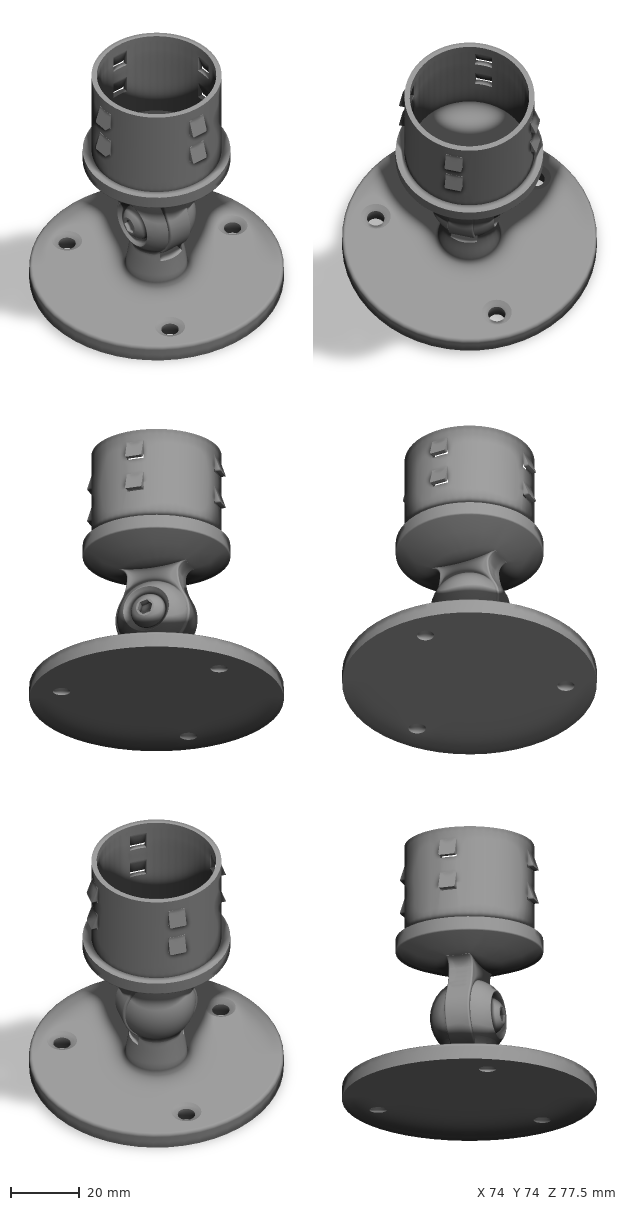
import cadquery as cq
import math

plate_dia = 74.0
plate_thick = 4.95
plate_round = 1.0
mount_hole_count = 3
mount_circle_dia = 56.0
mount_hole_dia = 5.0
countersink_dia = 8.7
countersink_depth = 1.0

pivot_z = 25.0
ball_radius = 11.5
stem_bottom_radius = 9.2
stem_half_angle = 8.5
stem_foot_round = 1.0
neck_round = 2.0
slot_width = 7.9
slot_floor_z = 13.0

ball_flat_y = -9.0
seat_mouth_radius = 7.0
seat_depth = 2.2
seat_floor_y = ball_flat_y + seat_depth
screw_shank_radius = 3.0
screw_end_y = 7.4
head_tip_y = -10.15
head_tip_radius = 2.7
head_radius = 5.3
head_dome_radius = 5.7
socket_across_flats = 4.0
socket_depth = 2.7
socket_cone_depth = 1.2
socket_turn = 45

total_height = 77.5
cup_radius = 18.9
cup_wall = 1.55
flange_radius = 21.5
flange_bottom_z = 45.0
flange_top_z = 49.0
flange_edge_round = 0.5
dome_bottom_z = 40.1
dome_height = flange_bottom_z - dome_bottom_z
dome_radius = (flange_radius**2 + dome_height**2) / (2 * dome_height)
dome_center_z = dome_bottom_z + dome_radius

lever_thick = 7.5
lever_edge_round = 0.5
neck_half_width = 7.9
dome_blend_radius = 3.0

tab_columns = 4
tab_rows = 2
tab_row_pitch = 10.1
top_window_z = 73.9
window_width = 5.0
window_height = 5.5
tab_gap = 0.3
tab_angle = 19
tab_bend_radius = 2.5
tab_corner_round = 0.5

search_margin = 0.1


def ring_between(z_low, z_high):
    """Selector for edges near the Z axis that lie wholly between two heights."""
    reach = flange_radius + search_margin
    return cq.selectors.BoxSelector((-reach, -reach, z_low), (reach, reach, z_high), boundingbox=True)


def revolve_about_screw_axis(profile):
    """Turn a closed profile, drawn as (radius, y), about the pivot axis."""
    return profile.close().revolve(360, (0, 0), (0, 1)).translate((0, 0, pivot_z))


def make_plate():
    plate = cq.Workplane("XY").circle(plate_dia / 2).extrude(plate_thick)
    plate = plate.faces(">Z").edges().fillet(plate_round)
    countersink_slope = (countersink_dia - mount_hole_dia) / (2 * countersink_depth)
    countersink_angle = 2 * math.degrees(math.atan(countersink_slope))
    return (
        plate.faces(">Z").workplane(origin=(0, 0, plate_thick))
        .polarArray(mount_circle_dia / 2, 90, 360, mount_hole_count)
        .cskHole(mount_hole_dia, countersink_dia, countersink_angle)
    )


def make_ball_stem():
    stem_height = pivot_z - plate_thick
    stem_top_radius = stem_bottom_radius - stem_height * math.tan(math.radians(stem_half_angle))
    stem = (
        cq.Workplane("XZ", origin=(0, 0, plate_thick))
        .lineTo(stem_bottom_radius, 0)
        .lineTo(stem_top_radius, stem_height)
        .lineTo(0, stem_height)
        .close()
        .revolve(360, (0, 0), (0, 1))
    )
    ball = cq.Workplane("XY").sphere(ball_radius).translate((0, 0, pivot_z))
    stem = stem.union(ball)
    return stem.edges(ring_between(slot_floor_z, pivot_z - neck_round)).fillet(neck_round)


def make_base():
    base = make_plate().union(make_ball_stem())
    foot_edge = ring_between(plate_thick - search_margin, plate_thick + search_margin)
    base = base.edges(foot_edge).fillet(stem_foot_round)

    slot_height = ball_radius + pivot_z - slot_floor_z
    slot = (
        cq.Workplane("XY", origin=(0, 0, slot_floor_z))
        .rect(2 * ball_radius, slot_width)
        .extrude(slot_height)
    )

    flat_radius = math.sqrt(ball_radius**2 - ball_flat_y**2)
    screw_space = revolve_about_screw_axis(
        cq.Workplane("XY")
        .moveTo(0, -ball_radius)
        .lineTo(flat_radius, -ball_radius)
        .lineTo(flat_radius, ball_flat_y)
        .lineTo(seat_mouth_radius, ball_flat_y)
        .lineTo(head_radius, seat_floor_y)
        .lineTo(screw_shank_radius, seat_floor_y)
        .lineTo(screw_shank_radius, screw_end_y)
        .lineTo(0, screw_end_y)
    )
    return base.cut(slot).cut(screw_space)


def make_screw():
    dome_center_y = head_tip_y + math.sqrt(head_dome_radius**2 - head_tip_radius**2)
    dome_edge_y = dome_center_y - math.sqrt(head_dome_radius**2 - head_radius**2)
    screw = revolve_about_screw_axis(
        cq.Workplane("XY")
        .moveTo(0, head_tip_y)
        .lineTo(head_tip_radius, head_tip_y)
        .radiusArc((head_radius, dome_edge_y), -head_dome_radius)
        .lineTo(head_radius, seat_floor_y)
        .lineTo(screw_shank_radius, seat_floor_y)
        .lineTo(screw_shank_radius, screw_end_y)
        .lineTo(0, screw_end_y)
    )

    socket = (
        cq.Workplane("XZ", origin=(0, head_tip_y, pivot_z))
        .transformed(rotate=(0, 0, socket_turn))
        .polygon(6, socket_across_flats, circumscribed=True)
        .extrude(-socket_depth)
    )
    socket_bottom_y = head_tip_y + socket_depth
    socket_cone = revolve_about_screw_axis(
        cq.Workplane("XY")
        .moveTo(0, socket_bottom_y)
        .lineTo(socket_across_flats / 2, socket_bottom_y)
        .lineTo(0, socket_bottom_y + socket_cone_depth)
    )
    return screw.cut(socket).cut(socket_cone)


def make_cup_shell():
    bore_radius = cup_radius - cup_wall
    shell = (
        cq.Workplane("XZ")
        .moveTo(0, dome_bottom_z)
        .radiusArc((flange_radius, flange_bottom_z), -dome_radius)
        .lineTo(flange_radius, flange_top_z)
        .lineTo(cup_radius, flange_top_z)
        .lineTo(cup_radius, total_height)
        .lineTo(bore_radius, total_height)
        .lineTo(bore_radius, flange_top_z)
        .lineTo(0, flange_top_z)
        .close()
        .revolve(360, (0, 0), (0, 1))
    )
    flange_bottom_edge = ring_between(flange_bottom_z - search_margin, flange_bottom_z + search_margin)
    return shell.edges(flange_bottom_edge).fillet(flange_edge_round)


def make_lever():
    dome_blend_x = neck_half_width + dome_blend_radius
    dome_to_blend = dome_radius + dome_blend_radius
    neck_z = dome_center_z - math.sqrt(dome_to_blend**2 - dome_blend_x**2)
    dome_ratio = dome_radius / dome_to_blend
    dome_end_x = dome_blend_x * dome_ratio
    dome_end_z = dome_center_z - (dome_center_z - neck_z) * dome_ratio

    neck_height = neck_z - pivot_z
    hub_blend_radius = (neck_height**2 / (ball_radius - neck_half_width) - ball_radius - neck_half_width) / 2
    hub_ratio = ball_radius / (ball_radius + hub_blend_radius)
    hub_end_x = (neck_half_width + hub_blend_radius) * hub_ratio
    hub_end_z = pivot_z + neck_height * hub_ratio

    lever = (
        cq.Workplane("XZ")
        .moveTo(-hub_end_x, hub_end_z)
        .threePointArc((0, pivot_z - ball_radius), (hub_end_x, hub_end_z))
        .radiusArc((neck_half_width, neck_z), hub_blend_radius)
        .radiusArc((dome_end_x, dome_end_z), dome_blend_radius)
        .lineTo(dome_end_x, flange_bottom_z)
        .lineTo(-dome_end_x, flange_bottom_z)
        .lineTo(-dome_end_x, dome_end_z)
        .radiusArc((-neck_half_width, neck_z), dome_blend_radius)
        .radiusArc((-hub_end_x, hub_end_z), hub_blend_radius)
        .close()
        .extrude(lever_thick / 2, both=True)
    )
    lever = lever.faces("<Y or >Y").edges().fillet(lever_edge_round)
    screw_hole = (
        cq.Workplane("XZ", origin=(0, 0, pivot_z))
        .circle(screw_shank_radius)
        .extrude(lever_thick, both=True)
    )
    return lever.cut(screw_hole)


def make_window(top_z):
    """Opening through the +X side of the cup wall."""
    return (
        cq.Workplane("XY", origin=(cup_radius, 0, top_z - window_height))
        .rect(4 * cup_wall, window_width)
        .extrude(window_height)
    )


def make_tab(top_z):
    """Wall-thick tab hanging from the window's top edge and bent outwards, on the +X side."""
    bend = math.radians(tab_angle)
    bend_out = tab_bend_radius * (1 - math.cos(bend))
    bend_z = top_z - tab_bend_radius * math.sin(bend)
    tip_z = top_z - window_height + tab_gap
    tip_out = bend_out + (bend_z - tip_z) * math.tan(bend)
    bore_radius = cup_radius - cup_wall
    tab = (
        cq.Workplane("XZ")
        .moveTo(bore_radius, top_z)
        .lineTo(cup_radius, top_z)
        .radiusArc((cup_radius + bend_out, bend_z), -tab_bend_radius)
        .lineTo(cup_radius + tip_out, tip_z)
        .lineTo(bore_radius + tip_out, tip_z)
        .lineTo(bore_radius + bend_out, bend_z)
        .radiusArc((bore_radius, top_z), tab_bend_radius)
        .close()
        .extrude(window_width / 2, both=True)
    )
    return tab.faces("<Z").edges("|X").fillet(tab_corner_round)


def make_cup():
    cup = make_cup_shell().union(make_lever())
    for row in range(tab_rows):
        top_z = top_window_z - row * tab_row_pitch
        for column in range(tab_columns):
            turn = 360 / tab_columns * column
            cup = cup.cut(make_window(top_z).rotate((0, 0, 0), (0, 0, 1), turn))
            cup = cup.union(make_tab(top_z).rotate((0, 0, 0), (0, 0, 1), turn))
    return cup


base = make_base()
screw = make_screw()
cup = make_cup()
result = cq.Compound.makeCompound([base.solids().val(), screw.solids().val(), cup.solids().val()])